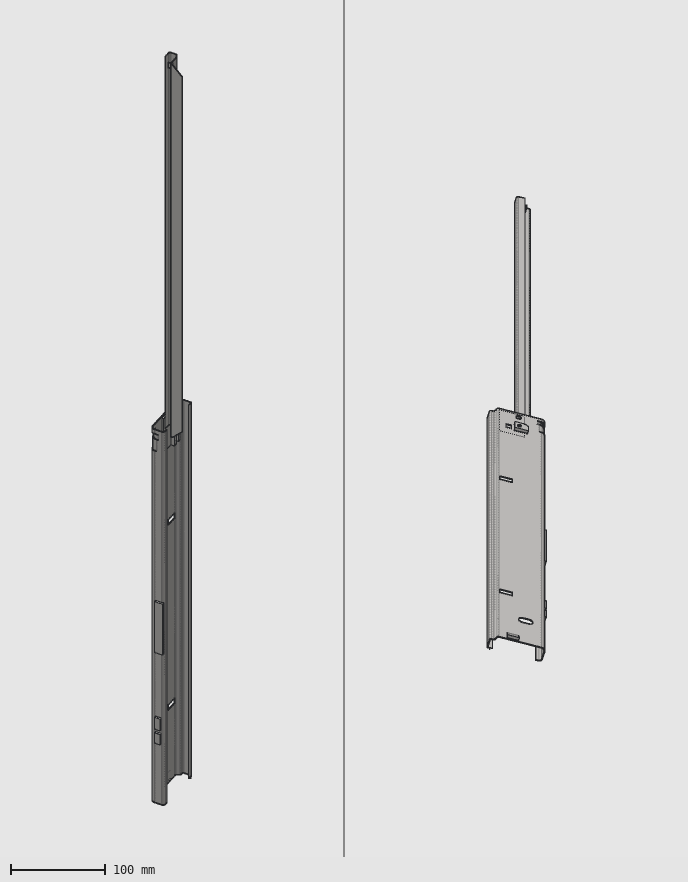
import cadquery as cq
import math

top_z = 493.0
bottom_z = -493.0
left_x = -18.0
right_x = 18.0
back_y = 32.0
front_y = -32.0

housing_sheet = 1.2
housing_top_z = 8.0
housing_bottom_z = bottom_z + 2.0
web_x = -14.0
lip_x = 2.0
step_x = -9.0
back_flange_y = back_y - housing_sheet / 2
front_flange_y = -29.0
lip_length = 6.0
step_outer_y = 27.0
step_inner_y = 24.0
tight_bend = 1.5
lip_bend = 2.5
corner_bend = 4.4
web_outer_x = web_x - housing_sheet / 2
web_inner_x = web_x + housing_sheet / 2

dent_top_z = 2.0
dent_step_z = -5.0
dent_bottom_z = -21.0
upper_dent_bend = 9.0
lower_dent_bend = 7.0

mount_slot_length = 14.0
mount_slot_height = 7.0
mount_slots = [(15.0, -143.0), (15.0, -390.0)]
round_slot_length = 16.0
round_slot_height = 10.0
round_slot = (-7.0, -441.0)
pin_hole_diameter = 6.0
pin_hole = (1.0, -1.0)
small_slot_length = 6.0
small_slot_height = 7.0
small_slot = (12.0, -26.0)

hook_back_y = 14.0
hook_front_y = 1.0
hook_top_z = -478.0
hook_bottom_z = -489.0

pads = [
    (-8.0, 2.0, -220.0, -288.0),
    (-8.0, -1.0, -374.0, -390.0),
    (-8.0, -1.0, -395.0, -409.0),
]

tip_height = 3.0

rail_sheet = 1.0
rail_bottom_z = -5.0
leg_x = -8.0
leg_end_y = -8.0
rail_top_y = 1.0
shoulder_x = 1.0
shoulder_y = -4.0
wall_x = 3.0
fin_y = -17.0
fin_chamfer = 12.0
stop_x = -3.0
stop_y = -11.0
stop_top_z = 489.0
stop_bottom_z = 482.0

latch_sheet = 2.0
latch_back_y = 22.0
latch_front_y = -6.0
latch_top_z = 6.0
latch_bottom_z = -39.0
rib_x = -7.0
ribs = [(22.0, 19.0), (14.0, 10.0)]
button_back_y = 6.0
button_front_y = -9.0
button_top_z = -19.0
button_bottom_z = -32.0
button_corner = 4.0
dimple = (1.0, -25.0)
dimple_diameter = 4.0
dimple_depth = 1.0


def box(x_limits, y_limits, z_limits):
    """Box between two limits on each axis."""
    spans = [sorted(limits) for limits in (x_limits, y_limits, z_limits)]
    size = [high - low for low, high in spans]
    corner = [low for low, high in spans]
    return cq.Workplane("XY").box(*size, centered=False).translate(tuple(corner))


def sheet_edge(path, bends, offset):
    """Sides of a bent sheet: a list of (start, middle, end) arcs, one for each inner point."""
    edge = []
    for before, corner, after, bend in zip(path, path[1:], path[2:], bends):
        into = (cq.Vector(*corner) - cq.Vector(*before)).normalized()
        out = (cq.Vector(*after) - cq.Vector(*corner)).normalized()
        turn = math.atan2(into.cross(out).z, into.dot(out))
        side = math.copysign(1, turn)
        up = cq.Vector(0, 0, side)
        inward_start = up.cross(into)
        inward_end = up.cross(out)
        inward_middle = (inward_start + inward_end).normalized()
        center = cq.Vector(*corner) - into * (bend * math.tan(abs(turn) / 2)) + inward_start * bend
        radius = bend - side * offset
        edge.append([center - n * radius for n in (inward_start, inward_middle, inward_end)])
    return edge


def bent_sheet(path, bends, thickness, low_z, high_z):
    """Sheet of even thickness that follows a path in XY, with rounded bends."""
    first = (cq.Vector(*path[1]) - cq.Vector(*path[0])).normalized()
    last = (cq.Vector(*path[-1]) - cq.Vector(*path[-2])).normalized()
    up = cq.Vector(0, 0, 1)
    start_normal = up.cross(first) * (thickness / 2)
    end_normal = up.cross(last) * (thickness / 2)
    start = cq.Vector(*path[0])
    end = cq.Vector(*path[-1])

    outline = cq.Workplane("XY", origin=(0, 0, low_z)).moveTo(*(start + start_normal).toTuple()[:2])
    for arc_start, middle, arc_end in sheet_edge(path, bends, thickness / 2):
        outline = outline.lineTo(arc_start.x, arc_start.y)
        outline = outline.threePointArc((middle.x, middle.y), (arc_end.x, arc_end.y))
    outline = outline.lineTo(*(end + end_normal).toTuple()[:2])
    outline = outline.lineTo(*(end - end_normal).toTuple()[:2])
    for arc_start, middle, arc_end in reversed(sheet_edge(path, bends, -thickness / 2)):
        outline = outline.lineTo(arc_end.x, arc_end.y)
        outline = outline.threePointArc((middle.x, middle.y), (arc_start.x, arc_start.y))
    return outline.close().extrude(high_z - low_z)


def housing_channel(front_corner_bend, low_z, high_z):
    """Length of the housing channel with a chosen front corner bend."""
    path = [
        (lip_x, back_flange_y - lip_length),
        (lip_x, back_flange_y),
        (step_x, back_flange_y),
        (step_x, step_outer_y),
        (web_x, step_inner_y),
        (web_x, front_flange_y),
        (lip_x, front_flange_y),
        (lip_x, front_flange_y + lip_length),
    ]
    bends = [tight_bend, tight_bend, tight_bend, tight_bend, front_corner_bend, lip_bend]
    return bent_sheet(path, bends, housing_sheet, low_z, high_z)


def web_slot(place, length, height):
    """Cutter for a rectangular slot along Y through the web."""
    slot = cq.Workplane("YZ", origin=(left_x, 0, 0)).center(*place).rect(length, height)
    return slot.extrude(step_x - left_x)


def latch_button(start_x, end_x):
    """Button with its upper front corner cut off."""
    button = box((start_x, end_x), (button_front_y, button_back_y), (button_bottom_z, button_top_z))
    return button.edges("|X and >Z and <Y").chamfer(button_corner)


def web_hook():
    """Wedge that rises from the web toward its lower end."""
    outline = [
        (web_x, hook_top_z),
        (web_outer_x, hook_top_z),
        (left_x, hook_bottom_z),
        (web_x, hook_bottom_z),
    ]
    wedge = cq.Workplane("XZ", origin=(0, hook_back_y, 0)).polyline(outline).close()
    return wedge.extrude(hook_back_y - hook_front_y)


def make_housing():
    upper = housing_channel(corner_bend, dent_top_z, housing_top_z)
    lower_dent = housing_channel(lower_dent_bend, dent_bottom_z, dent_step_z)
    upper_dent = housing_channel(upper_dent_bend, dent_step_z, dent_top_z)
    lower = housing_channel(corner_bend, housing_bottom_z, dent_bottom_z)
    housing = lower.union(lower_dent).union(upper_dent).union(upper)

    for place in mount_slots:
        housing = housing.cut(web_slot(place, mount_slot_length, mount_slot_height))
    housing = housing.cut(web_slot(small_slot, small_slot_length, small_slot_height))
    web_side = cq.Workplane("YZ", origin=(left_x, 0, 0))
    slot_outline = web_side.center(*round_slot).slot2D(round_slot_length, round_slot_height)
    housing = housing.cut(slot_outline.extrude(step_x - left_x))
    hole = web_side.center(*pin_hole).circle(pin_hole_diameter / 2)
    housing = housing.cut(hole.extrude(step_x - left_x))
    housing = housing.cut(latch_button(left_x, web_inner_x))

    housing = housing.union(web_hook())

    for pad_left, pad_right, pad_top, pad_bottom in pads:
        pad = box((pad_left, pad_right), (front_y, front_flange_y), (pad_bottom, pad_top))
        housing = housing.union(pad)

    tip = box(
        (lip_x - housing_sheet / 2, lip_x + housing_sheet / 2),
        (back_flange_y - lip_length / 2, back_flange_y - lip_bend),
        (bottom_z, bottom_z + tip_height),
    )
    return housing.union(tip)


def make_rail():
    path = [
        (leg_x, leg_end_y),
        (leg_x, rail_top_y),
        (shoulder_x, rail_top_y),
        (wall_x, shoulder_y),
        (wall_x, fin_y),
        (right_x, fin_y),
    ]
    bends = [tight_bend] * (len(path) - 2)
    rail = bent_sheet(path, bends, rail_sheet, rail_bottom_z, top_z)

    for end_z, inward in ((top_z, -1), (rail_bottom_z, 1)):
        corner = [
            (right_x, end_z),
            (right_x - fin_chamfer, end_z),
            (right_x, end_z + inward * fin_chamfer),
        ]
        cutter = cq.Workplane("XZ").polyline(corner).close().extrude(back_y - front_y)
        rail = rail.cut(cutter)

    stop = box(
        (stop_x, wall_x),
        (stop_y - rail_sheet / 2, stop_y + rail_sheet / 2),
        (stop_bottom_z, stop_top_z),
    )
    return rail.union(stop)


def make_latch():
    plate_inner_x = web_inner_x + latch_sheet
    latch = box((web_inner_x, plate_inner_x), (latch_front_y, latch_back_y), (latch_bottom_z, latch_top_z))
    for rib_back_y, rib_front_y in ribs:
        rib = box((web_inner_x, rib_x), (rib_front_y, rib_back_y), (latch_bottom_z, latch_top_z))
        latch = latch.union(rib)
    latch = latch.union(latch_button(left_x, plate_inner_x))

    dimple_outline = cq.Workplane("YZ", origin=(left_x, 0, 0)).center(*dimple).circle(dimple_diameter / 2)
    return latch.cut(dimple_outline.extrude(dimple_depth))


housing = make_housing()
rail = make_rail()
latch = make_latch()

result = cq.Compound.makeCompound([housing.solids().val(), rail.solids().val(), latch.solids().val()])